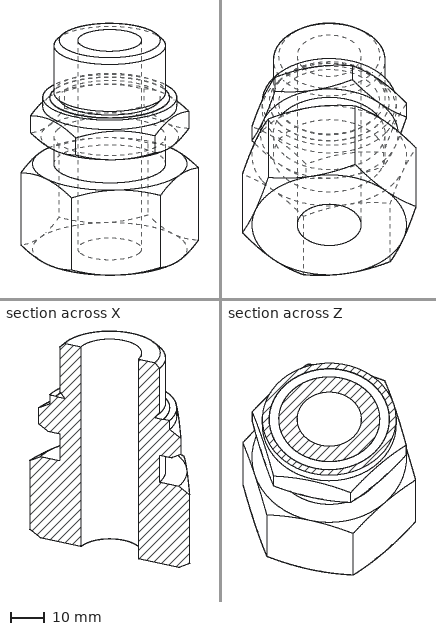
import cadquery as cq
import math

large_hex_top = 26.9
small_hex_bottom = 35.65
small_hex_top = 45.0
collar_top = 48.0
thread_bottom = 49.55
total_height = 66.0

large_hex_flats = 46.0
small_hex_flats = 41.0
thread_diameter = 33.25
thread_tip_diameter = 30.1
runout_diameter = 30.1
collar_diameter = 39.9
recess_diameter = 35.7
bore_diameter = 19.0

thread_chamfer_height = 1.6
recess_depth = 0.1
hex_chamfer_angle = math.radians(30)


def cylinder(diameter, bottom, top):
    return cq.Workplane("XY").workplane(offset=bottom).circle(diameter / 2).extrude(top - bottom)


def chamfered_hex(flats, bottom, top, top_face_diameter):
    """Hexagon with corners on the Y axis, its corners turned down to cones at both ends."""
    corner_radius = flats / math.sqrt(3)
    face_radius = flats / 2
    top_face_radius = top_face_diameter / 2
    bottom_drop = (corner_radius - face_radius) * math.tan(hex_chamfer_angle)
    top_drop = (corner_radius - top_face_radius) * math.tan(hex_chamfer_angle)
    prism = (
        cq.Workplane("XY")
        .workplane(offset=bottom)
        .polygon(6, 2 * corner_radius)
        .extrude(top - bottom)
        .rotate((0, 0, 0), (0, 0, 1), 30)
    )
    turned_envelope = (
        cq.Workplane("XZ")
        .moveTo(0, bottom)
        .lineTo(face_radius, bottom)
        .lineTo(corner_radius, bottom + bottom_drop)
        .lineTo(corner_radius, top - top_drop)
        .lineTo(top_face_radius, top)
        .lineTo(0, top)
        .close()
        .revolve(360, (0, 0, 0), (0, 1, 0))
    )
    return prism.intersect(turned_envelope)


def threaded_end():
    """Plain thread cylinder with a chamfered tip and a tapered run-out above the collar."""
    tip_radius = thread_tip_diameter / 2
    runout_radius = runout_diameter / 2
    recess_floor = collar_top - recess_depth
    thread_radius = thread_diameter / 2
    return (
        cq.Workplane("XZ")
        .moveTo(0, recess_floor)
        .lineTo(runout_radius, recess_floor)
        .lineTo(thread_radius, thread_bottom)
        .lineTo(thread_radius, total_height - thread_chamfer_height)
        .lineTo(tip_radius, total_height)
        .lineTo(0, total_height)
        .close()
        .revolve(360, (0, 0, 0), (0, 1, 0))
    )


large_hex = chamfered_hex(large_hex_flats, 0, large_hex_top, large_hex_flats)
neck = cylinder(thread_diameter, large_hex_top, small_hex_bottom)
small_hex = chamfered_hex(small_hex_flats, small_hex_bottom, small_hex_top, collar_diameter)
collar = cylinder(collar_diameter, small_hex_top, collar_top)
collar_recess = cylinder(recess_diameter, collar_top - recess_depth, collar_top)
bore = cylinder(bore_diameter, 0, total_height)

body = large_hex.union(neck).union(small_hex).union(collar).cut(collar_recess)
result = body.union(threaded_end()).cut(bore)